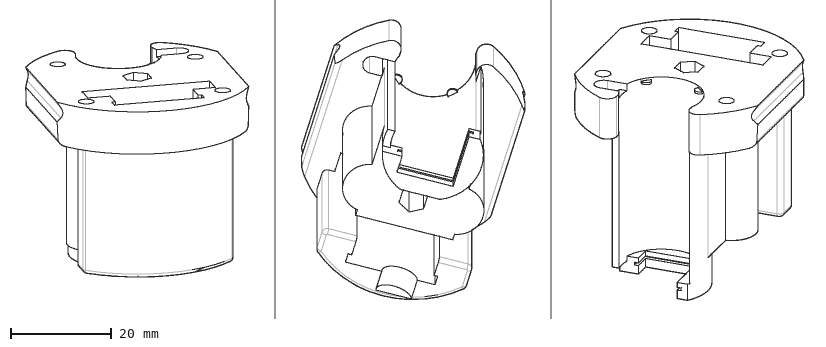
import cadquery as cq
import math


plate_radius = 23.0
plate_flats_width = 39.4
plate_thickness = 8.8
mouth_width = 15.65
tip_radius = 2.0
hex_flats_width = 5.05

groove_center = -2.0
groove_lower_edge = -4.15
groove_depth = 0.83
groove_arc_height = 2.15
groove_arc_depth = 0.3
side_taper = 0.17
plate_bottom_round = 1.05

screw_holes = [
    (-9.55, 14.55, 3.1),
    (12.97, 14.0, 3.1),
    (12.97, -14.0, 3.1),
    (-12.0, -13.05, 3.0),
]
screw_hole_depth = 5.22
drill_tip_angle = 118.0

tube_x = -14.2
bore_x = -14.4
tube_radius = 10.0
bore_radius = 8.5
tube_mouth_y = -8.3
tube_right = -5.05
total_height = 41.0
floor_top = -37.5
floor_left = -20.1

floor_opening_right = -8.58
floor_opening_width = 11.6
floor_slit_margin = 0.85
floor_slit_top = -38.55
floor_slit_height = 0.55

wire_slot_left = -16.05
wire_slot_right = -12.28
wire_slot_end = 14.35
wire_slot_sill = -1.5

block_bottom = -33.82
lobe_radius = 5.35
lobe_y = 9.0

pocket_left = 6.55
pocket_step_x = (10.8, 14.7)
pocket_right = 16.65
pocket_half_widths = (13.1, 8.5, 9.25)

leg_radius = 22.2
leg_width = 30.8
leg_bottom = -34.85
leg_edge_round = 1.05
leg_bottom_round = 0.85
cable_notch_y = -1.9
cable_notch_radius = 3.65
cable_notch_depth = 4.35

disc_diameter = 2.15
disc_thickness = 0.45
disc_top = -0.5
disc_x = -8.3
disc_y = 5.75

bottom = -total_height
reach = 2 * plate_radius


def box(x_range, y_range, z_range):
    """Box between two corners, given as ranges along each axis."""
    size = [high - low for low, high in (x_range, y_range, z_range)]
    corner = (x_range[0], y_range[0], z_range[0])
    return cq.Workplane("XY").box(*size, centered=False).translate(corner)


def cylinder(x, y, radius, z_low, z_high):
    """Upright cylinder between two heights."""
    return cq.Workplane("XY", origin=(x, y, z_low)).circle(radius).extrude(z_high - z_low)


def make_side_profile():
    """Plate section in the YZ plane: grooved, tapered sides with rounded lower edges."""
    half_width = plate_flats_width / 2
    arc_top = groove_center + groove_arc_height / 2
    arc_bottom = groove_center - groove_arc_height / 2
    deepest = half_width - groove_depth
    arc_ends = deepest + groove_arc_depth
    return (
        cq.Workplane("YZ", origin=(-reach / 2, 0, 0))
        .moveTo(0, 0)
        .lineTo(half_width, 0)
        .lineTo(arc_ends, arc_top)
        .threePointArc((deepest, groove_center), (arc_ends, arc_bottom))
        .lineTo(half_width, groove_lower_edge)
        .lineTo(half_width - side_taper, -plate_thickness)
        .lineTo(0, -plate_thickness)
        .close()
        .extrude(reach)
        .faces("<Z")
        .edges(">Y")
        .fillet(plate_bottom_round)
    )


def make_plate():
    """Round plate with two grooved flats, and a bore open to the left through a rounded mouth."""
    plate_heights = (-plate_thickness, 0)
    plate = cylinder(0, 0, plate_radius, *plate_heights)
    plate = plate.cut(cylinder(bore_x, 0, bore_radius, *plate_heights))
    plate = plate.cut(box((-reach, bore_x), (-mouth_width / 2, mouth_width / 2), plate_heights))
    plate = plate.edges("|Z").edges("<X").fillet(tip_radius)
    half = make_side_profile()
    return plate.intersect(half.union(half.mirror("XZ")))


def make_bore(z_low):
    """Bore below the plate down to the given height, with a straight mouth wall on the -Y side."""
    round_part = cylinder(bore_x, 0, bore_radius, z_low, -plate_thickness)
    mouth = box((-reach, bore_x), (tube_mouth_y, 0), (z_low, -plate_thickness))
    return round_part.union(mouth)


def make_tube_and_block():
    """Tube with its floor, the centre block joined to it, and the bore through both."""
    half_opening = floor_opening_width / 2
    half_slit = half_opening + floor_slit_margin
    half_block = tube_radius
    tube = cylinder(tube_x, 0, tube_radius, bottom, -plate_thickness)
    tube = tube.intersect(box((floor_left, tube_right), (-reach, reach), (bottom, 0)))
    block_heights = (block_bottom, -plate_thickness)
    block = box((tube_x, pocket_left), (-half_block, half_block), block_heights)
    block = block.union(box((-lobe_radius, lobe_radius), (-lobe_y, lobe_y), block_heights))
    for y in (-lobe_y, lobe_y):
        block = block.union(cylinder(0, y, lobe_radius, *block_heights))
    body = tube.union(block).cut(make_bore(floor_top))

    body = body.cut(box((-reach, floor_opening_right), (-half_opening, half_opening), (bottom, floor_top)))
    slit_right = floor_opening_right + floor_slit_margin
    slit_heights = (floor_slit_top - floor_slit_height, floor_slit_top)
    body = body.cut(box((-reach, slit_right), (-half_slit, half_slit), slit_heights))

    body = body.cut(box((-reach, wire_slot_left), (0, reach), (bottom, -plate_thickness)))
    floor_gap = box((-reach, wire_slot_right), (0, reach), (bottom, -plate_thickness))
    body = body.cut(make_bore(bottom).intersect(floor_gap))
    return body.cut(box((-reach, wire_slot_right), (0, reach), (bottom, floor_slit_top)))


def make_legs():
    """Rounded block that the pocket splits into a shell with two legs."""
    half_width = leg_width / 2
    heights = (leg_bottom, -plate_thickness)
    legs = cylinder(0, 0, leg_radius, *heights)
    legs = legs.intersect(box((pocket_step_x[0], reach), (-half_width, half_width), heights))
    legs = legs.edges("|Z").fillet(leg_edge_round).faces("<Z").edges().fillet(leg_bottom_round)
    notch = (
        cq.Workplane("YZ", origin=(pocket_right, cable_notch_y, leg_bottom))
        .circle(cable_notch_radius)
        .extrude(cable_notch_depth)
    )
    return legs.cut(notch)


def make_pocket():
    """Stepped pocket, symmetric about the XZ plane."""
    edges_x = (pocket_left, *pocket_step_x, pocket_right)
    pocket = cq.Workplane("XY")
    for left, right, half_width in zip(edges_x, edges_x[1:], pocket_half_widths):
        pocket = pocket.union(box((left, right), (-half_width, half_width), (bottom, 0)))
    return pocket


def make_wire_slot():
    """Round-ended slot through the plate, leaving the tube wall standing up to a sill."""
    slot_radius = (wire_slot_right - wire_slot_left) / 2
    slot_x = (wire_slot_left + wire_slot_right) / 2
    end_y = wire_slot_end - slot_radius
    slot = cylinder(slot_x, end_y, slot_radius, -plate_thickness, 0)
    slot = slot.union(box((wire_slot_left, wire_slot_right), (0, end_y), (-plate_thickness, 0)))
    return slot.cut(cylinder(tube_x, 0, tube_radius, -plate_thickness, wire_slot_sill))


def make_screw_hole(x, y, diameter):
    """Blind drilled hole with a conical end."""
    radius = diameter / 2
    tip_depth = radius / math.tan(math.radians(drill_tip_angle / 2))
    return (
        cq.Workplane("XZ", origin=(x, y, 0))
        .polyline([(0, 0), (radius, 0), (radius, -screw_hole_depth), (0, -screw_hole_depth - tip_depth)])
        .close()
        .revolve(360, (0, 0), (0, 1))
    )


def make_disc(y):
    """Small flat disc that stands half out of the bore wall."""
    return cylinder(disc_x, y, disc_diameter / 2, disc_top - disc_thickness, disc_top)


def make_housing(discs):
    """Plate, tube, centre block and legs as one solid, with all holes and the disc recesses."""
    hex_hole = (
        cq.Workplane("XY", origin=(0, 0, bottom))
        .polygon(6, hex_flats_width / math.cos(math.pi / 6))
        .extrude(total_height)
    )
    housing = make_plate().union(make_tube_and_block()).union(make_legs())
    housing = housing.cut(make_pocket()).cut(make_wire_slot()).cut(hex_hole)
    for x, y, diameter in screw_holes:
        housing = housing.cut(make_screw_hole(x, y, diameter))
    for disc in discs:
        housing = housing.cut(disc)
    return housing


discs = [make_disc(y) for y in (-disc_y, disc_y)]
housing = make_housing(discs)

result = cq.Compound.makeCompound([housing.val(), *[disc.val() for disc in discs]])